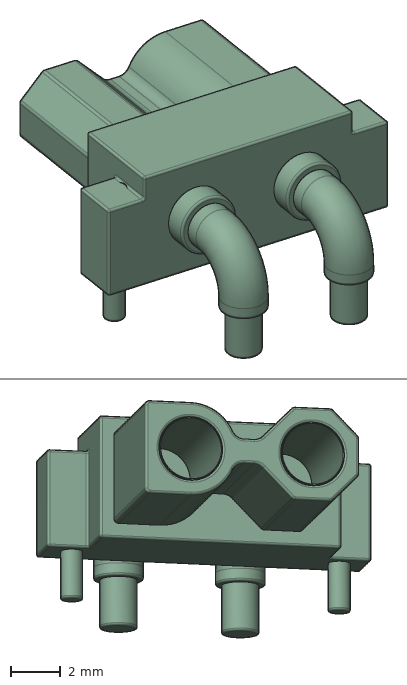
import cadquery as cq
import math


plug_length = 6.0
pole_offset = 2.5
plug_height = 3.8
plug_radius = plug_height / 2
plug_d_side = 4.38
web_height = 1.0
web_fillet = 0.5
corner_radius = 0.2
socket_diameter = 2.6
bore_diameter = 2.5
bore_depth = plug_length

block_width = 9.92
block_height = 5.0
block_length = 4.3
block_end = plug_length + block_length
ear_span = 13.3
ear_height = 4.0
ear_depth = 2.16
edge_radius = 0.1
axis_height = block_height / 2

collar_diameter = socket_diameter
collar_length = 1.0
wire_diameter = 2.0
bend_radius = 2.0
overall_length = 14.9
tail_x = overall_length - wire_diameter / 2
tail_diameter = 1.5
pin_drop = 2.0

peg_x = 8.91
peg_offset = 5.5
peg_diameter = 0.9
peg_head_diameter = 1.03


def make_housing():
    """Block with an ear on each side, all edges and inner corners rounded."""
    block = cq.Workplane("XY").box(
        block_length, block_width, block_height, centered=(False, True, False)
    ).translate((plug_length, 0, 0))
    ears = cq.Workplane("XY").box(
        ear_depth, ear_span, ear_height, centered=(False, True, False)
    ).translate((block_end - ear_depth, 0, 0))
    return block.union(ears).clean().edges().fillet(edge_radius)


def edges_between(solid, y_low, y_high):
    """Edges along X of a solid that lie between two Y positions."""
    zone = cq.selectors.BoxSelector((0, y_low, 0), (plug_length, y_high, block_height))
    return solid.edges("|X").edges(zone)


def make_plug():
    """Keyed plug: a D-shaped pole and an octagonal pole joined by a thin web."""
    web_top = web_height / 2
    half_flat = plug_radius * math.tan(math.pi / 8)
    d_arc_middle = 0.75 * math.pi
    d_arc_end = math.pi - math.asin(web_top / plug_radius)
    flat_start = half_flat - pole_offset
    flat_end = -half_flat - pole_offset
    octagon_side = -pole_offset - plug_radius
    slope_foot = flat_start + plug_radius - web_top

    def d_arc_point(angle):
        return (pole_offset + plug_radius * math.cos(angle), plug_radius * math.sin(angle))

    upper_half = (
        cq.Workplane("YZ", origin=(0, 0, axis_height))
        .moveTo(plug_d_side, 0)
        .lineTo(plug_d_side, plug_radius)
        .lineTo(pole_offset, plug_radius)
        .threePointArc(d_arc_point(d_arc_middle), d_arc_point(d_arc_end))
        .lineTo(slope_foot, web_top)
        .lineTo(flat_start, plug_radius)
        .lineTo(flat_end, plug_radius)
        .lineTo(octagon_side, half_flat)
        .lineTo(octagon_side, 0)
    )
    plug = upper_half.mirrorX().extrude(plug_length)

    plug = edges_between(plug, flat_start + edge_radius, pole_offset - edge_radius).fillet(web_fillet)
    plug = edges_between(plug, plug_d_side - edge_radius, plug_d_side + edge_radius).fillet(corner_radius)
    return edges_between(plug, octagon_side - edge_radius, flat_start + edge_radius).fillet(corner_radius)


def make_pole_cylinders(diameter):
    """One cylinder on each pole axis, from the mating end to the bore floor."""
    return (
        cq.Workplane("YZ", origin=(0, 0, axis_height))
        .pushPoints([(pole_offset, 0), (-pole_offset, 0)])
        .circle(diameter / 2)
        .extrude(bore_depth)
    )


def fit_sockets(plug):
    """Round the mating end, then set a thin, flush contact socket in each hole."""
    socket_bodies = make_pole_cylinders(socket_diameter)
    rounded = plug.cut(socket_bodies).faces("<X").edges().fillet(edge_radius)
    return rounded.union(socket_bodies).cut(make_pole_cylinders(bore_diameter))


def make_contact(y):
    """Collar, bent round wire and solder tail of one contact."""
    collar = (
        cq.Workplane("YZ", origin=(block_end, y, axis_height))
        .circle(collar_diameter / 2)
        .extrude(collar_length)
        .faces(">X").edges().fillet(edge_radius)
    )
    bend_start = tail_x - bend_radius
    bend_bottom = axis_height - bend_radius
    straight = (
        cq.Workplane("YZ", origin=(block_end, y, axis_height))
        .circle(wire_diameter / 2)
        .extrude(bend_start - block_end)
    )
    bend = (
        cq.Workplane("YZ", origin=(bend_start, y, axis_height))
        .circle(wire_diameter / 2)
        .revolve(90, (0, -bend_radius, 0), (1, -bend_radius, 0))
    )
    sleeve = (
        cq.Workplane("XY", origin=(tail_x, y, 0))
        .circle(wire_diameter / 2)
        .extrude(bend_bottom)
        .faces("<Z").edges().fillet(edge_radius)
    )
    tail = make_pin(tail_x, y, tail_diameter, bend_bottom)
    return collar.union(straight).union(bend).union(sleeve).union(tail)


def make_pin(x, y, diameter, top):
    """Vertical pin from a top Z down to below the board, with a rounded tip."""
    return (
        cq.Workplane("XY", origin=(x, y, -pin_drop))
        .circle(diameter / 2)
        .extrude(pin_drop + top)
        .faces("<Z").edges().fillet(edge_radius)
    )


def make_head_clearance(y):
    """Space over the flush peg head, notching the fillet beside the block."""
    return (
        cq.Workplane("XY", origin=(peg_x, y, ear_height))
        .circle(peg_head_diameter / 2)
        .extrude(2 * edge_radius)
    )


housing = make_housing()
plug = fit_sockets(make_plug())
result = housing.union(plug)
for side in (-1, 1):
    peg_y = side * peg_offset
    result = result.cut(make_head_clearance(peg_y))
    result = result.union(make_pin(peg_x, peg_y, peg_diameter, ear_height / 2))
    result = result.union(make_contact(side * pole_offset))